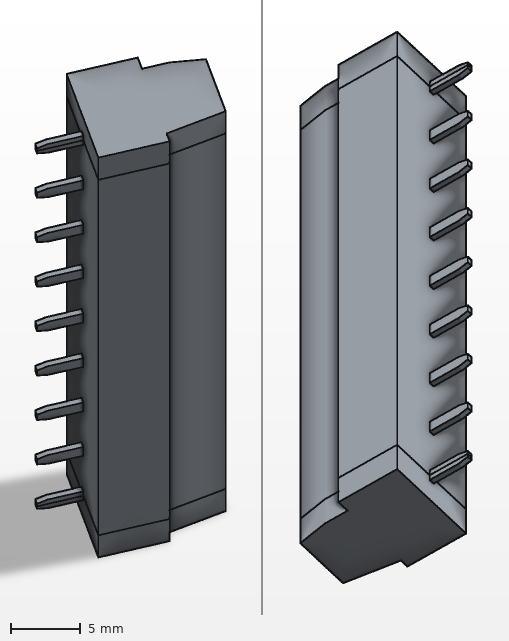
import cadquery as cq

total_height = 45.7
pin_count = 9
pitch = total_height / pin_count
end_height = pitch / 2

base_width = 8.1
base_depth = 5.35
housing_depth = 10.0
crown_width = 5.05
left_wall_x = -2.95
left_wall_end_y = 7.4
right_wall_x = 3.3

pin_thickness = 0.45
pin_height = 1.0
pin_length = 3.47
tip_length = 0.82
tip_height = 0.6


def make_housing_block(bottom_z, top_z):
    """Extrude the housing cross-section between two heights."""
    return (
        cq.Workplane("XY", origin=(0, 0, bottom_z))
        .moveTo(-base_width / 2, 0)
        .lineTo(base_width / 2, 0)
        .lineTo(base_width / 2, base_depth)
        .lineTo(right_wall_x, base_depth)
        .lineTo(crown_width / 2, housing_depth)
        .lineTo(-crown_width / 2, housing_depth)
        .lineTo(left_wall_x, left_wall_end_y)
        .lineTo(left_wall_x, base_depth)
        .lineTo(-base_width / 2, base_depth)
        .close()
        .extrude(top_z - bottom_z)
    )


def make_pin(center_z, lower_half=True, upper_half=True):
    """Make a pin, or only the half below or above its middle plane."""
    shoulder_y = tip_length - pin_length
    outline = cq.Workplane("YZ", origin=(-pin_thickness / 2, 0, center_z)).moveTo(0, 0)
    if upper_half:
        outline = (
            outline.lineTo(0, pin_height / 2)
            .lineTo(shoulder_y, pin_height / 2)
            .lineTo(-pin_length, tip_height / 2)
        )
    else:
        outline = outline.lineTo(-pin_length, 0)
    if lower_half:
        outline = (
            outline.lineTo(-pin_length, -tip_height / 2)
            .lineTo(shoulder_y, -pin_height / 2)
            .lineTo(0, -pin_height / 2)
        )
    else:
        outline = outline.lineTo(-pin_length, 0)
    return outline.close().extrude(pin_thickness)


first_pin_z = end_height
last_pin_z = total_height - end_height

lower_end = make_housing_block(0, first_pin_z).union(make_pin(first_pin_z, upper_half=False))
upper_end = make_housing_block(last_pin_z, total_height).union(make_pin(last_pin_z, lower_half=False))

middle = make_housing_block(first_pin_z, last_pin_z)
for index in range(pin_count):
    pin = make_pin(
        first_pin_z + index * pitch,
        lower_half=index > 0,
        upper_half=index < pin_count - 1,
    )
    middle = middle.union(pin)

result = cq.Compound.makeCompound([lower_end.val(), middle.val(), upper_end.val()])